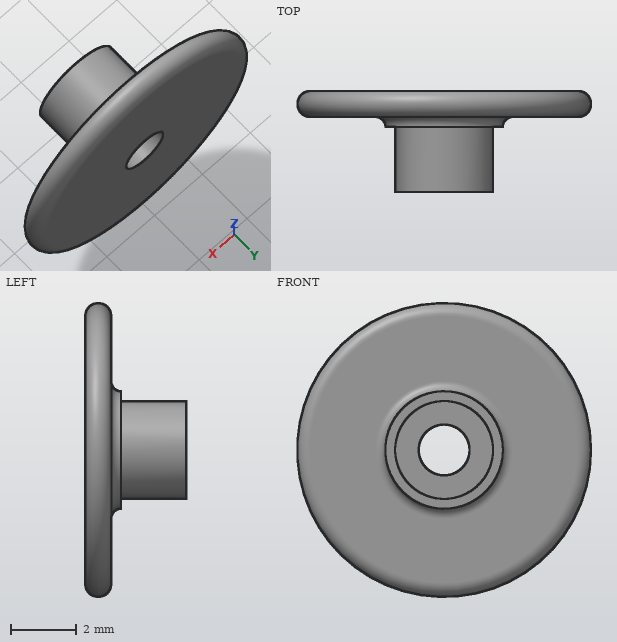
import cadquery as cq
import math

disc_diameter = 9.0
disc_thickness = 0.8
collar_diameter = 3.6
collar_height = 0.3
hub_diameter = 3.0
hub_length = 2.0
bore_diameter = 1.55

rim_radius = disc_thickness / 2
disc_radius = disc_diameter / 2
flat_radius = disc_radius - rim_radius
collar_radius = collar_diameter / 2
hub_radius = hub_diameter / 2
bore_radius = bore_diameter / 2

fillet_radius = collar_height
fillet_mid_offset = fillet_radius * (1 - math.sqrt(0.5))

back_y = 0.0
front_y = back_y - disc_thickness
collar_y = front_y - collar_height
hub_y = collar_y - hub_length

profile = (
    cq.Workplane("XY")
    .moveTo(bore_radius, back_y)
    .lineTo(flat_radius, back_y)
    .threePointArc((disc_radius, back_y - rim_radius), (flat_radius, front_y))
    .lineTo(collar_radius + fillet_radius, front_y)
    .threePointArc(
        (collar_radius + fillet_mid_offset, front_y - fillet_mid_offset),
        (collar_radius, collar_y),
    )
    .lineTo(hub_radius, collar_y)
    .lineTo(hub_radius, hub_y)
    .lineTo(bore_radius, hub_y)
    .close()
)

result = profile.revolve(360, (0, 0, 0), (0, 1, 0))